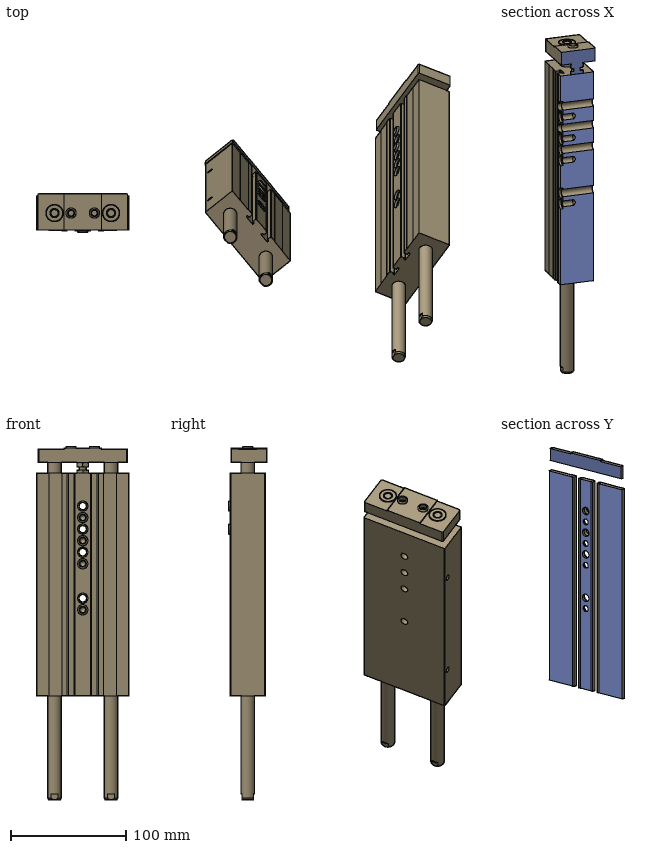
import cadquery as cq
import math


overall_height = 306.8

rod_dia = 12.0
rod_spacing = 49.0
rod_end_chamfer = 1.0
rod_end_chamfer_length = 1.5
rod_flats = 10.0
rod_flat_length = 5.2
rod_head_dia = 15.0
rod_head_depth = 5.0
rod_recess_dia = 6.0
rod_recess_mouth_dia = 8.0
rod_recess_depth = 0.3
rod_head_chamfer = 0.45

housing_width = 80.0
housing_front_y = -15.3
housing_back_y = 15.3
housing_bottom = 90.2
housing_top = 283.5
housing_edge_chamfer = 0.5
front_pad_half_width = 18.0
front_shoulder_half_width = 29.0
shoulder_step = 0.3
outer_step = 0.45

slot_offset = 10.0
slot_opening = 5.0
slot_mouth_width = 6.7
slot_mouth_depth = 0.5
slot_lip = 4.0
slot_inner_width = 8.5
slot_depth = 5.5

hole_pitch = 10.0
top_hole_z = 255.0
through_hole_steps = (0, 2, 4, 8)
blind_hole_steps = (1, 3, 5, 9)
sleeved_steps = (0, 2)
through_hole_dia = 6.5
thread_dia = 5.0
thread_mouth_dia = 6.0
thread_depth = 12.3
drill_tip_angle = 118

port_dia = 5.0
port_core_dia = 4.0
port_step_depth = 3.0
port_depth = 7.7
port_y = 10.0
port_heights = (130.0, 243.3)

sleeve_dia = 9.0
sleeve_bore = 6.0
sleeve_rim_round = 1.0
sleeve_length = 3.7
sleeve_proud = 1.5
sleeve_seat_depth = sleeve_length - sleeve_proud

yoke_width = 78.0
yoke_front_y = -14.7
yoke_back_y = 17.0
yoke_bottom = 293.0
yoke_edge_chamfer = 0.77
yoke_pad_width = 32.5
yoke_pad_height = 1.0
yoke_pad_top = overall_height - sleeve_proud
yoke_top = yoke_pad_top - yoke_pad_height
yoke_sleeve_spacing = 20.2
yoke_thread_depth = 7.7

nut_flats = 10.0
nut_chamfer = 1.0
nut_bottom = 288.7
neck_dia = 6.5
rod_hex_top = 286.2

housing_depth = housing_back_y - housing_front_y
rod_xs = (-rod_spacing / 2, rod_spacing / 2)
slot_xs = (-slot_offset, slot_offset)
yoke_sleeve_xs = (-yoke_sleeve_spacing / 2, yoke_sleeve_spacing / 2)


def front_plane(x, z):
    """Workplane on the housing front at (x, z); its normal points into the housing."""
    return cq.Plane(origin=(x, housing_front_y, z), xDir=(1, 0, 0), normal=(0, 1, 0))


def top_plane(x, z):
    """Horizontal workplane at (x, 0, z); its normal points down."""
    return cq.Plane(origin=(x, 0, z), xDir=(1, 0, 0), normal=(0, 0, -1))


def cylinder(plane, dia, depth):
    return cq.Workplane(plane).circle(dia / 2).extrude(depth)


def hex_prism(bottom, height):
    """Hexagonal prism on the Z axis with one corner pointing to the front."""
    corner_dia = nut_flats / math.cos(math.pi / 6)
    prism = cq.Workplane().polygon(6, corner_dia).extrude(height)
    return prism.rotate((0, 0, 0), (0, 0, 1), 90).translate((0, 0, bottom))


def revolved_about_normal(plane, profile):
    """Solid turned about the normal of a plane from (radius, depth) points."""
    turned = cq.Workplane("XZ").polyline(profile).close().revolve(360, (0, 0), (0, 1))
    return cq.Workplane(turned.val().moved(cq.Location(plane)))


def stepped_hole(plane, mouth_dia, mouth_depth, dia, depth, tip_length):
    """Blind hole with a wider mouth; a tip length of zero leaves the bottom flat."""
    outline = [
        (0, 0),
        (mouth_dia / 2, 0),
        (mouth_dia / 2, mouth_depth),
        (dia / 2, mouth_depth),
        (dia / 2, depth),
    ]
    return revolved_about_normal(plane, outline + [(0, depth + tip_length)])


def drill_tip(dia):
    """Length of the conical tip that a drill leaves."""
    return dia / 2 / math.tan(math.radians(drill_tip_angle / 2))


def threaded_hole(plane, depth, tip_length):
    """Sleeve seat followed by a countersunk blind hole."""
    bevel = (thread_mouth_dia - thread_dia) / 2
    countersink = revolved_about_normal(plane, [
        (0, sleeve_seat_depth),
        (thread_mouth_dia / 2, sleeve_seat_depth),
        (thread_dia / 2, sleeve_seat_depth + bevel),
        (0, sleeve_seat_depth + bevel),
    ])
    return stepped_hole(plane, sleeve_dia, sleeve_seat_depth, thread_dia, depth, tip_length).union(countersink)


def t_slot(x):
    half_mouth = slot_mouth_width / 2
    half_opening = slot_opening / 2
    half_inner = slot_inner_width / 2
    half_profile = [
        (half_mouth, 0),
        (half_mouth, slot_mouth_depth),
        (half_opening, slot_mouth_depth),
        (half_opening, slot_lip),
        (half_inner, slot_lip),
        (half_inner, slot_depth),
    ]
    mirrored = [(-px, py) for px, py in reversed(half_profile)]
    slot = cq.Workplane().polyline(half_profile + mirrored).close()
    return slot.extrude(housing_top - housing_bottom).translate((x, housing_front_y, housing_bottom))


def front_relief(half_width, step):
    """Layer of the housing front outside a central strip."""
    height = housing_top - housing_bottom
    layer = cq.Workplane().box(housing_width, 2 * step, height, centered=(True, True, False))
    strip = cq.Workplane().box(2 * half_width, 2 * step, height, centered=(True, True, False))
    return layer.cut(strip).translate((0, housing_front_y, housing_bottom))


def make_housing():
    height = housing_top - housing_bottom
    body = (
        cq.Workplane()
        .box(housing_width, housing_depth, height, centered=(True, True, False))
        .edges("|Z").chamfer(housing_edge_chamfer)
        .translate((0, (housing_front_y + housing_back_y) / 2, housing_bottom))
    )

    for half_width, step in ((front_pad_half_width, shoulder_step), (front_shoulder_half_width, outer_step)):
        body = body.cut(front_relief(half_width, step))

    for x in slot_xs:
        body = body.cut(t_slot(x))

    for x in rod_xs:
        body = body.cut(cylinder(top_plane(x, housing_top), rod_dia, height))

    for step in through_hole_steps:
        plane = front_plane(0, top_hole_z - step * hole_pitch)
        body = body.cut(cylinder(plane, through_hole_dia, housing_depth))
        body = body.cut(cylinder(plane, sleeve_dia, sleeve_seat_depth))

    for step in blind_hole_steps:
        plane = front_plane(0, top_hole_z - step * hole_pitch)
        body = body.cut(threaded_hole(plane, thread_depth, drill_tip(thread_dia)))

    for z in port_heights:
        plane = cq.Plane(origin=(-housing_width / 2, port_y, z), xDir=(0, 1, 0), normal=(1, 0, 0))
        body = body.cut(stepped_hole(plane, port_dia, port_step_depth, port_core_dia, port_depth, drill_tip(port_core_dia)))
    return body


def make_yoke():
    depth = yoke_back_y - yoke_front_y
    centre_y = (yoke_back_y + yoke_front_y) / 2
    plate = (
        cq.Workplane()
        .box(yoke_width, depth, yoke_top - yoke_bottom, centered=(True, True, False))
        .edges("|Z").chamfer(yoke_edge_chamfer)
        .translate((0, centre_y, yoke_bottom))
    )
    pad = (
        cq.Workplane()
        .box(yoke_pad_width, depth, yoke_pad_height, centered=(True, True, False))
        .translate((0, centre_y, yoke_top))
    )
    body = plate.union(pad)

    for x in rod_xs:
        plane = top_plane(x, yoke_top)
        body = body.cut(cylinder(plane, rod_head_dia, rod_head_depth))
        body = body.cut(cylinder(plane, rod_dia, yoke_top - yoke_bottom))

    for x in yoke_sleeve_xs:
        body = body.cut(threaded_hole(top_plane(x, yoke_pad_top), yoke_thread_depth, tip_length=0))

    nut = hex_prism(nut_bottom, yoke_bottom - nut_bottom)
    nut_limit = (
        cylinder(top_plane(0, yoke_bottom), nut_flats / math.cos(math.pi / 6), yoke_bottom - nut_bottom)
        .faces("<Z or >Z").chamfer(nut_chamfer)
    )
    neck = cylinder(top_plane(0, nut_bottom), neck_dia, nut_bottom - rod_hex_top)
    rod_hex = hex_prism(housing_top, rod_hex_top - housing_top)
    return body.union(nut.intersect(nut_limit)).union(neck).union(rod_hex)


def make_guide_rod(x):
    top = top_plane(0, yoke_top)
    rod = cylinder(top, rod_dia, yoke_top).faces("<Z").chamfer(rod_end_chamfer_length, rod_end_chamfer)
    blank = cq.Workplane().box(rod_dia, rod_dia, rod_flat_length, centered=(True, True, False))
    flats = cq.Workplane().box(rod_dia, rod_flats, rod_flat_length, centered=(True, True, False))
    rod = rod.cut(blank.cut(flats))
    head = cylinder(top, rod_head_dia, rod_head_depth).faces(">Z").chamfer(rod_head_chamfer)
    rod = rod.union(head)
    recess = revolved_about_normal(top, [
        (0, 0),
        (rod_recess_mouth_dia / 2, 0),
        (rod_recess_dia / 2, rod_recess_depth),
        (0, rod_recess_depth),
    ])
    return rod.cut(recess).translate((x, 0, 0))


def make_sleeve(plane):
    """Locating sleeve seated at the plane and standing proud of it, rounded at the free end."""
    tube = (
        cq.Workplane()
        .circle(sleeve_dia / 2)
        .circle(sleeve_bore / 2)
        .extrude(sleeve_length)
        .faces("<Z").edges("%CIRCLE").edges(cq.selectors.RadiusNthSelector(-1)).fillet(sleeve_rim_round)
        .translate((0, 0, -sleeve_proud))
    )
    return cq.Workplane(tube.val().moved(cq.Location(plane)))


housing = make_housing()
yoke = make_yoke()
guide_rods = [make_guide_rod(x) for x in rod_xs]
housing_sleeves = [make_sleeve(front_plane(0, top_hole_z - step * hole_pitch)) for step in sleeved_steps]
yoke_sleeves = [make_sleeve(top_plane(x, yoke_pad_top)) for x in yoke_sleeve_xs]

bodies = [housing, yoke, *guide_rods, *housing_sleeves, *yoke_sleeves]
result = cq.Compound.makeCompound([body.val() for body in bodies])